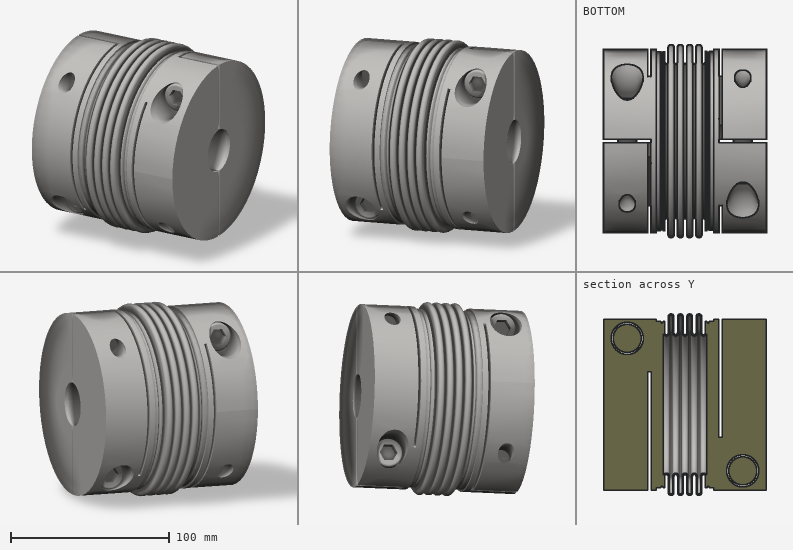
import cadquery as cq
import math


total_length = 103.0
half_length = total_length / 2
bore_diameter = 27.8

bellows_diameter = 122.0
root_diameter = 97.6
wall = 1.0
wave_count = 4
wave_pitch = 5.9
crest_outer_radius = wave_pitch / 4 + wall / 2
root_outer_radius = wave_pitch / 4 - wall / 2
crest_center_height = bellows_diameter / 2 - crest_outer_radius
root_center_height = root_diameter / 2 + root_outer_radius
end_root_x = wave_count * wave_pitch / 2
flange_inner_x = end_root_x + root_outer_radius
flange_outer_x = flange_inner_x + wall

hub_diameter = 115.9
hub_cylinder_length = 33.4
collar_diameter = 113.2
weld_groove_width = 1.8
weld_groove_depth = 1.1

slit_width = 2.0
cross_slot_start = 28.0
cross_slot_width = 1.8
cross_slot_angle = 135.0
cross_slot_end = cross_slot_start + cross_slot_width

screw_axial_offset = 15.0
screw_height = 41.8
screw_diameter = 12.0
screw_length = 40.0
head_diameter = 18.0
head_height = 12.0
head_top_y = 27.1
head_round = 1.2
counterbore_diameter = 20.0
hex_across_flats = 10.0
hex_depth = 6.0
tapped_hole_diameter = 10.2


def x_cylinder(diameter, x_start, x_end):
    """Cylinder on the coupling axis."""
    return cq.Workplane("YZ", origin=(x_start, 0, 0)).circle(diameter / 2).extrude(x_end - x_start)


def wave_body(crest_radius, root_radius):
    """Solid of revolution under a wave that begins and ends at the outermost roots."""
    start_x = -end_root_x - root_radius
    profile = cq.Workplane("XY").moveTo(start_x, 0).lineTo(start_x, root_center_height)
    for i in range(wave_count + 1):
        root_x = -end_root_x + i * wave_pitch
        profile = profile.threePointArc(
            (root_x, root_center_height - root_radius),
            (root_x + root_radius, root_center_height),
        )
        if i < wave_count:
            crest_x = root_x + wave_pitch / 2
            profile = profile.lineTo(crest_x - crest_radius, crest_center_height)
            profile = profile.threePointArc(
                (crest_x, crest_center_height + crest_radius),
                (crest_x + crest_radius, crest_center_height),
            ).lineTo(crest_x + crest_radius, root_center_height)
    profile = profile.lineTo(-start_x, 0).close()
    return profile.revolve(360, (0, 0, 0), (1, 0, 0))


def make_bellows():
    """Corrugated tube with a flat welding flange at each end."""
    bellows = wave_body(crest_outer_radius, root_outer_radius)
    for flange_start in (-flange_outer_x, flange_inner_x):
        bellows = bellows.union(x_cylinder(collar_diameter, flange_start, flange_start + wall))
    return bellows.cut(wave_body(crest_outer_radius - wall, root_outer_radius + wall))


def hub_blank():
    """Turned hub at the -X end with a stepped collar and a V groove along its weld."""
    shoulder_x = -half_length + hub_cylinder_length
    collar_radius = collar_diameter / 2
    groove_start = -flange_outer_x - weld_groove_width
    groove_bottom = groove_start + weld_groove_width / 2
    profile = (
        cq.Workplane("XY")
        .moveTo(-half_length, bore_diameter / 2)
        .lineTo(-half_length, hub_diameter / 2)
        .lineTo(shoulder_x, hub_diameter / 2)
        .lineTo(shoulder_x, collar_radius)
        .lineTo(groove_start, collar_radius)
        .lineTo(groove_bottom, collar_radius - weld_groove_depth)
        .lineTo(-flange_outer_x, collar_radius)
        .lineTo(-flange_outer_x, bore_diameter / 2)
        .close()
    )
    return profile.revolve(360, (0, 0, 0), (1, 0, 0))


def clamp_slit():
    """Slit that parts the clamp into a +Y and a -Y half."""
    blank = cq.Workplane("XY", origin=(-half_length, 0, 0))
    return blank.box(cross_slot_end, slit_width, hub_diameter, centered=(False, True, True))


def cross_slot():
    """Sector-shaped slot on the -Y side, from the top round to a short bridge at the bottom."""
    reach = hub_diameter
    drop = reach * math.tan(math.radians(cross_slot_angle - 90))
    outline = [
        (0, 0),
        (0, reach),
        (-reach, reach),
        (-reach, -drop),
    ]
    slot_x = -half_length + cross_slot_start
    return cq.Workplane("YZ", origin=(slot_x, 0, 0)).polyline(outline).close().extrude(cross_slot_width)


def add_screw(hub):
    """Socket-head screw along Y in the upper part of the hub, its head on the +Y side."""
    seat_y = head_top_y - head_height
    screw_x = -half_length + screw_axial_offset

    def plane_at(y):
        return cq.Workplane("XZ", origin=(screw_x, y, screw_height))

    counterbore = plane_at(seat_y).circle(counterbore_diameter / 2).extrude(-hub_diameter / 2)
    head = plane_at(seat_y).circle(head_diameter / 2).extrude(-head_height)
    head = head.faces(">Y").edges().fillet(head_round)
    hex_across_corners = hex_across_flats / math.cos(math.radians(30))
    socket = plane_at(head_top_y).polygon(6, hex_across_corners).extrude(hex_depth)
    shank = plane_at(seat_y).circle(screw_diameter / 2).extrude(screw_length)
    tapped_hole = plane_at(seat_y - screw_length).circle(tapped_hole_diameter / 2).extrude(hub_diameter / 2)
    return hub.cut(counterbore).cut(tapped_hole).union(shank).union(head.cut(socket))


def half_turn(shape, axis):
    """Copy turned 180 degrees about an axis through the origin."""
    return shape.rotate((0, 0, 0), axis, 180)


def make_hub():
    """Complete hub at the -X end: both clamp halves are alike under a half turn about X."""
    x_axis = (1, 0, 0)
    slot = cross_slot()
    hub = hub_blank().cut(clamp_slit()).cut(slot).cut(half_turn(slot, x_axis))
    for _ in range(2):
        hub = half_turn(add_screw(hub), x_axis)
    return hub


left_hub = make_hub()
right_hub = half_turn(left_hub, (0, 0, 1))
result = make_bellows().union(left_hub).union(right_hub)